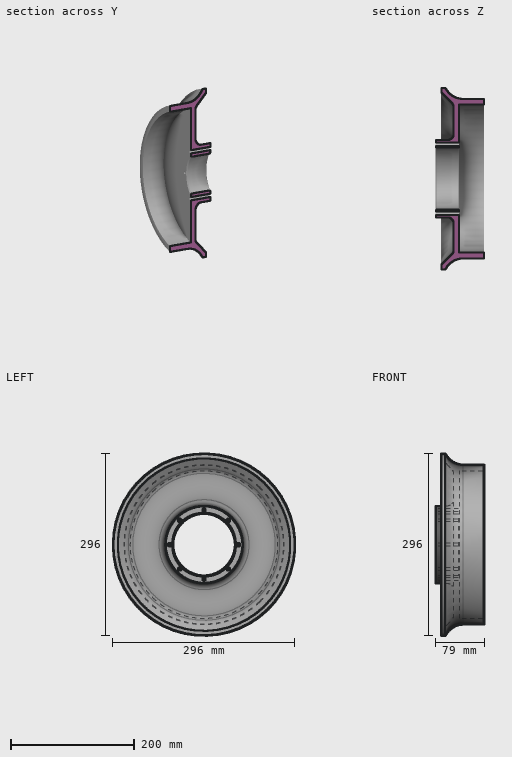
import cadquery as cq
import math

overall_width = 79.0
flange_face_x = 9.0
flange_edge_x = 15.5
throat_start_x = 17.0
tread_start_x = 44.7
web_front_x = 29.0
web_back_x = 38.8

flange_radius = 148.0
tread_radius = 130.0
hub_radius = 63.0
bore_radius = 50.0
dish_mouth_radius = 140.0
rim_inner_radius = 120.0

throat_radius = 31.7
web_fillet = 10.0
edge_chamfer = 1.0
bore_chamfer = 1.8

bolt_count = 8
bolt_circle_radius = 56.0
bolt_hole_radius = 2.5

dish_depth = web_front_x - flange_face_x
dish_angle = math.radians(45)
dish_floor_radius = dish_mouth_radius - dish_depth / math.tan(dish_angle)


def throat_point(x):
    """Point on the throat arc, which is tangent to the tread."""
    offset = tread_start_x - x
    rise = throat_radius - math.sqrt(throat_radius**2 - offset**2)
    return x, tread_radius + rise


def make_blank():
    """Revolved wheel with a dished front and a recessed back."""
    throat_middle_x = (throat_start_x + tread_start_x) / 2
    return (
        cq.Workplane("XY")
        .moveTo(0, bore_radius + bore_chamfer)
        .lineTo(0, hub_radius - edge_chamfer)
        .lineTo(edge_chamfer, hub_radius)
        .lineTo(web_front_x - web_fillet, hub_radius)
        .radiusArc((web_front_x, hub_radius + web_fillet), -web_fillet)
        .lineTo(web_front_x, dish_floor_radius)
        .lineTo(flange_face_x, dish_mouth_radius)
        .lineTo(flange_face_x, flange_radius - edge_chamfer)
        .lineTo(flange_face_x + edge_chamfer, flange_radius)
        .lineTo(flange_edge_x, flange_radius)
        .lineTo(*throat_point(throat_start_x))
        .threePointArc(throat_point(throat_middle_x), (tread_start_x, tread_radius))
        .lineTo(overall_width - edge_chamfer, tread_radius)
        .lineTo(overall_width, tread_radius - edge_chamfer)
        .lineTo(overall_width, rim_inner_radius)
        .lineTo(web_back_x, rim_inner_radius)
        .lineTo(web_back_x, bore_radius + bore_chamfer)
        .lineTo(web_back_x - bore_chamfer, bore_radius)
        .lineTo(bore_chamfer, bore_radius)
        .close()
        .revolve(360, (0, 0, 0), (1, 0, 0))
    )


def round_dish_corner(wheel):
    """Blend the conical dish wall into the flat web."""
    margin = 0.3
    half_span = dish_floor_radius + margin
    corner = cq.selectors.BoxSelector(
        (web_front_x - margin, -half_span, -half_span),
        (web_front_x + margin, half_span, half_span),
        boundingbox=True,
    )
    inner_span = hub_radius + web_fillet + margin
    hub_edge = cq.selectors.BoxSelector(
        (web_front_x - margin, -inner_span, -inner_span),
        (web_front_x + margin, inner_span, inner_span),
        boundingbox=True,
    )
    return wheel.edges(corner - hub_edge).fillet(web_fillet)


def make_bolt_holes():
    """Ring of through holes parallel to the axle."""
    return (
        cq.Workplane("YZ")
        .polarArray(bolt_circle_radius, 0, 360, bolt_count)
        .circle(bolt_hole_radius)
        .extrude(overall_width)
    )


result = round_dish_corner(make_blank()).cut(make_bolt_holes())